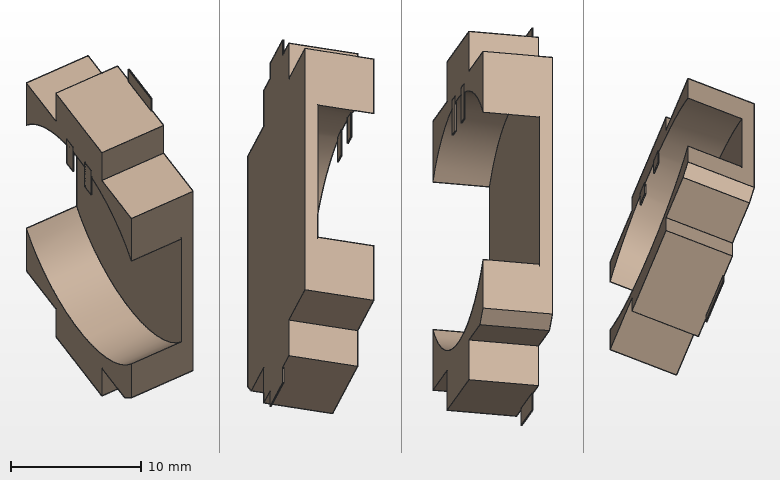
import cadquery as cq

total_length = 31.3
width = 16.0
depth = 5.5
shoulder_length = 22.05
end_block_width = 7.0
end_block_length = 28.55
corner_chamfer = 1.0

pocket_radius = 10.02
floor_thickness = 1.03

sheet_thickness = 0.1
tab_width = 3.5
finger_width = 0.97
finger_outer_span = 3.72
finger_bottom = 7.7
finger_top = 10.55

back_y = depth / 2
front_y = -depth / 2
finger_offset = (finger_outer_span - finger_width) / 2


def box_from_back(size_x, size_y, size_z):
    """Centred box in X and Z whose rear face lies on the housing back."""
    return cq.Workplane("XY").box(size_x, size_y, size_z).translate((0, back_y - size_y / 2, 0))


def make_finger(center_x):
    """Thin upright contact strip, flush with the housing front."""
    return (
        cq.Workplane("XY")
        .box(finger_width, sheet_thickness, finger_top - finger_bottom)
        .translate((center_x, front_y + sheet_thickness / 2, (finger_top + finger_bottom) / 2))
    )


def make_housing(inset_fingers):
    """Stepped holder with pocket, end tabs and recesses for the fingers."""
    main_block = box_from_back(width, depth, shoulder_length)
    main_block = main_block.edges("|Y and >X and <Z").chamfer(corner_chamfer)
    end_blocks = box_from_back(end_block_width, depth, end_block_length)
    end_tabs = box_from_back(tab_width, sheet_thickness, total_length)
    pocket = (
        cq.Workplane("XZ", origin=(0, back_y - floor_thickness, 0))
        .circle(pocket_radius)
        .extrude(depth - floor_thickness)
    )
    housing = main_block.union(end_blocks).union(end_tabs).cut(pocket)
    for finger in inset_fingers:
        housing = housing.cut(finger)
    return housing


fingers = [make_finger(side * finger_offset) for side in (-1, 1)]
housing = make_housing(fingers)

result = cq.Compound.makeCompound([housing.val(), *[finger.val() for finger in fingers]])